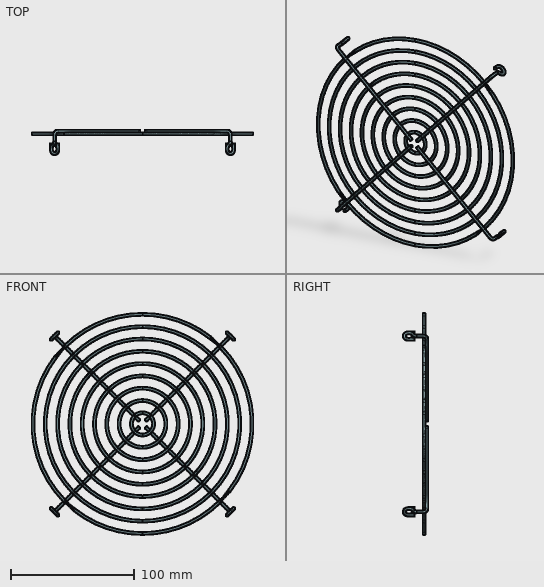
import cadquery as cq
import math

outer_diameter = 180.4
ring_wire = 2.5
ring_count = 9
inner_ring_radius = 9.0
outer_ring_radius = (outer_diameter - ring_wire) / 2
ring_pitch = (outer_ring_radius - inner_ring_radius) / (ring_count - 1)

spoke_wire = 2.5
spoke_y = 2.2
spoke_inner_radius = 3.6
leg_radius = 100.8
bend_radius = 3.0
leg_end_y = -6.0

hook_wire = 2.5
hook_radius = 3.8
total_depth = 20.7
hook_front_y = spoke_y + spoke_wire / 2 - total_depth
hook_center_y = hook_front_y + hook_wire / 2 + hook_radius
hook_tip_y = -7.5

neck_rise = leg_end_y - hook_center_y
neck_radius = (neck_rise**2 - hook_radius**2) / (2 * hook_radius)
neck_angle = math.atan2(neck_rise, neck_radius)

spoke_angles = [45 + 90 * i for i in range(4)]


def sweep_wire(path, diameter, start, direction):
    """Round wire following a path that begins at start in the given direction."""
    profile = cq.Workplane(cq.Plane(origin=start, normal=direction)).circle(diameter / 2)
    return profile.sweep(path, transition="round")


def turn_about_y(body, angle):
    """Turn a body from the +X axis towards +Z."""
    return body.rotate((0, 0, 0), (0, 1, 0), -angle)


def half_ring(radius, side):
    """Half circle of wire on the side +1 (+X) or -1 (-X)."""
    profile = cq.Workplane("YZ").center(0, radius).circle(ring_wire / 2)
    return profile.revolve(180, (0, -radius, 0), (side, -radius, 0))


def spoke(angle):
    """Radial wire with a quarter bend into a leg parallel to Y."""
    bend_start = leg_radius - bend_radius
    bend_center_y = spoke_y - bend_radius
    diagonal = bend_radius * math.sqrt(0.5)
    path = (
        cq.Workplane("XY")
        .moveTo(spoke_inner_radius, spoke_y)
        .lineTo(bend_start, spoke_y)
        .threePointArc((bend_start + diagonal, bend_center_y + diagonal), (leg_radius, bend_center_y))
        .lineTo(leg_radius, leg_end_y)
    )
    wire = sweep_wire(path, spoke_wire, (spoke_inner_radius, spoke_y, 0), (1, 0, 0))
    return turn_about_y(wire, angle)


def guard_half(side):
    """Half rings of one side joined by the two spokes of that side."""
    half = None
    for angle in spoke_angles:
        if side * math.cos(math.radians(angle)) > 0:
            half = spoke(angle) if half is None else half.union(spoke(angle))
    for i in range(ring_count):
        half = half.union(half_ring(outer_ring_radius - i * ring_pitch, side))
    return half


def neck_point(turn):
    """Point on the neck after the wire has turned by the given angle from the leg."""
    return (neck_radius * (1 - math.cos(turn)), leg_end_y - neck_radius * math.sin(turn))


def hook(angle):
    """Open hook in the plane across the spoke: curved neck, loop and straight free end."""
    plane = cq.Plane(origin=(leg_radius, 0, 0), xDir=(0, 0, 1), normal=(-1, 0, 0))
    path = (
        cq.Workplane(plane)
        .moveTo(0, leg_end_y)
        .threePointArc(neck_point(neck_angle / 2), neck_point(neck_angle))
        .threePointArc((0, hook_center_y - hook_radius), (-hook_radius, hook_center_y))
        .lineTo(-hook_radius, hook_tip_y)
    )
    wire = sweep_wire(path, hook_wire, (leg_radius, leg_end_y, 0), (0, -1, 0))
    return turn_about_y(wire, angle)


guard_halves = [guard_half(side) for side in (-1, 1)]
hooks = [hook(angle) for angle in spoke_angles]

result = cq.Compound.makeCompound([body.solids().val() for body in guard_halves + hooks])